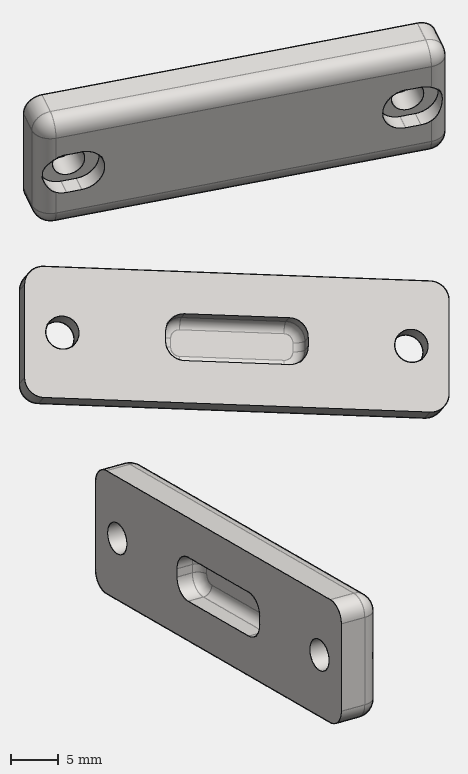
import cadquery as cq

length = 45.0
height = 14.0
thickness = 5.0
edge_radius = 2.02

hole_diameter = 3.5
hole_spacing = 37.0
recess_width = 5.0
recess_length = 6.65
recess_depth = 2.0

pocket_length = 15.1
pocket_height = 5.0
pocket_depth = 3.0
pocket_corner_radius = 2.02
pocket_floor_fillet = 1.1


def rounded_block(x_size, y_size, z_size, corner_radius, rim_radius):
    """Block starting at X = 0, with rounded X-parallel edges and a rounded +X rim."""
    block = cq.Workplane("YZ").rect(y_size, z_size).extrude(x_size)
    block = block.edges("|X").fillet(corner_radius)
    return block.faces(">X").edges().fillet(rim_radius)


def at_holes():
    """YZ workplane at X = 0 with a point at each hole centre."""
    centres = [(-hole_spacing / 2, 0), (hole_spacing / 2, 0)]
    return cq.Workplane("YZ").pushPoints(centres)


plate = rounded_block(thickness, length, height, edge_radius, edge_radius)

pocket = rounded_block(
    pocket_depth, pocket_length, pocket_height, pocket_corner_radius, pocket_floor_fillet
)

holes = at_holes().circle(hole_diameter / 2).extrude(thickness)
recesses = at_holes().slot2D(recess_length, recess_width).extrude(recess_depth)
recesses = recesses.translate((thickness - recess_depth, 0, 0))

result = plate.cut(pocket).cut(holes).cut(recesses)